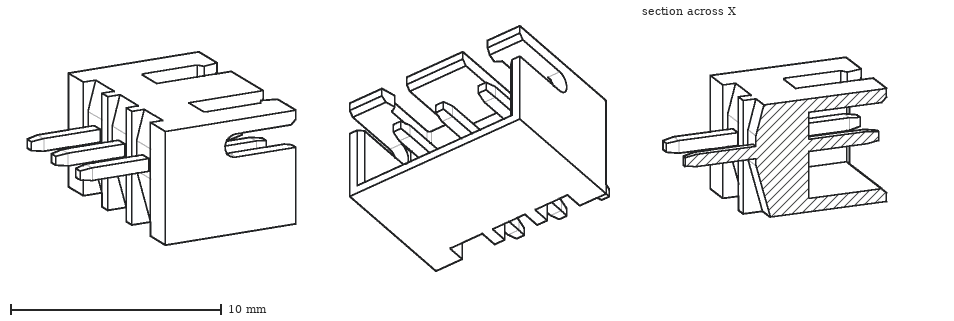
import cadquery as cq


width = 10.0
depth = 7.0
height = 5.7
wall = 0.7
cavity_depth = 4.0
mouth_chamfer = 0.25
cavity_width = width - 2 * wall
cavity_height = height - 2 * wall
cavity_floor_y = depth - cavity_depth

pin_count = 3
pitch = 2.5
pin_size = 0.64
pin_tip_size = 0.45
pin_taper = 0.6
tail_length = 3.4
pin_setback = 0.4
pin_z = height - 2.35
pin_end_y = depth - pin_setback
pin_positions = [(i - (pin_count - 1) / 2) * pitch for i in range(pin_count)]

notch_inner_x = 1.65
notch_outer_x = 3.25
notch_mouth_x = 3.1
barb_x = 2.92
barb_depth = 0.8
barb_end_depth = 1.0
notch_corner_radius = 0.15

side_slot_height = 1.16
side_slot_depth = 3.8
side_slot_radius = side_slot_height / 2
side_slot_top_z = height - wall

recess_width = 1.9
recess_land_depth = 0.25
recess_top_depth = 0.66
recess_bottom_depth = 1.0
recess_land_top_z = height - 1.5
recess_land_bottom_z = 2.7


def block(size_x, size_y, size_z, y_start, z_start):
    """Box centred on X = 0, starting at the given Y and Z."""
    corner = (-size_x / 2, y_start, z_start)
    return cq.Workplane("XY").box(size_x, size_y, size_z, centered=False).translate(corner)


def make_cavity():
    """Rectangular socket whose mouth flares out by the chamfer."""
    socket = block(cavity_width, cavity_depth, cavity_height, cavity_floor_y, wall)
    flare = (
        cq.Workplane("XZ", origin=(0, depth, height / 2))
        .rect(cavity_width + 2 * mouth_chamfer, cavity_height + 2 * mouth_chamfer)
        .workplane(offset=mouth_chamfer)
        .rect(cavity_width, cavity_height)
        .loft(ruled=True)
    )
    return socket.union(flare)


def make_notch():
    """Barbed notch through the top wall on the +X side."""
    return (
        cq.Workplane("XY", origin=(0, 0, height - wall))
        .moveTo(notch_inner_x, depth)
        .lineTo(notch_mouth_x, depth)
        .lineTo(barb_x, depth - barb_depth)
        .lineTo(notch_outer_x, depth - barb_end_depth)
        .lineTo(notch_outer_x, cavity_floor_y + notch_corner_radius)
        .tangentArcPoint((notch_outer_x - notch_corner_radius, cavity_floor_y), relative=False)
        .lineTo(notch_inner_x, cavity_floor_y)
        .close()
        .extrude(wall)
    )


def make_side_slots():
    """Round-ended slot through both side walls, its upper edge chamfered level with the cavity mouth."""
    slot_bottom_z = side_slot_top_z - side_slot_height
    slot_end_y = depth - side_slot_depth
    arc_start_y = slot_end_y + side_slot_radius
    return (
        cq.Workplane("YZ")
        .moveTo(depth, side_slot_top_z + mouth_chamfer)
        .lineTo(depth - mouth_chamfer, side_slot_top_z)
        .lineTo(arc_start_y, side_slot_top_z)
        .threePointArc((slot_end_y, side_slot_top_z - side_slot_radius), (arc_start_y, slot_bottom_z))
        .lineTo(depth, slot_bottom_z)
        .close()
        .extrude(width / 2, both=True)
    )


def make_recess(x):
    """Back-face recess: a flat land around the pin, deepening toward the top and the underside."""
    profile = [
        (0, 0),
        (recess_bottom_depth, 0),
        (recess_land_depth, recess_land_bottom_z),
        (recess_land_depth, recess_land_top_z),
        (recess_top_depth, height),
        (0, height),
    ]
    recess = cq.Workplane("YZ").polyline(profile).close().extrude(recess_width / 2, both=True)
    return recess.translate((x, 0, 0))


def make_pin_tip(base_y, tip_y):
    """Tapered square pin end between two Y positions."""
    return (
        cq.Workplane("XZ", origin=(0, base_y, pin_z))
        .rect(pin_size, pin_size)
        .workplane(offset=base_y - tip_y)
        .rect(pin_tip_size, pin_tip_size)
        .loft(ruled=True)
    )


def make_pin(x):
    """Square pin with both ends tapered."""
    shank_start_y = pin_taper - tail_length
    shank_end_y = pin_end_y - pin_taper
    pin = block(pin_size, shank_end_y - shank_start_y, pin_size, shank_start_y, pin_z - pin_size / 2)
    pin = pin.union(make_pin_tip(shank_start_y, -tail_length))
    pin = pin.union(make_pin_tip(shank_end_y, pin_end_y))
    return pin.translate((x, 0, 0))


notch = make_notch()
result = block(width, depth, height, 0, 0)
result = result.cut(make_cavity())
result = result.cut(notch).cut(notch.mirror("YZ"))
result = result.cut(make_side_slots())
for pin_x in pin_positions:
    result = result.cut(make_recess(pin_x))
    result = result.union(make_pin(pin_x))